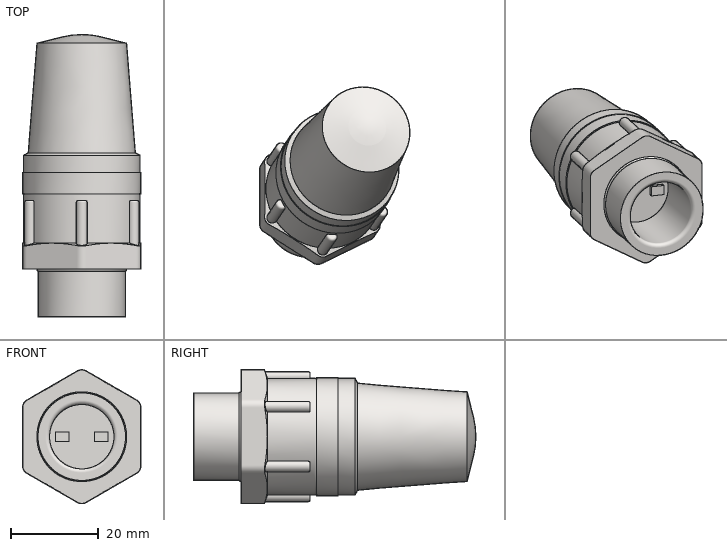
import cadquery as cq
import math

LENGTH = 64.5
SPIGOT_LENGTH = 10.9
COLLAR_LENGTH = 0.5
HEX_THICKNESS = 6.0
BAND_START = 28.1
BAND_END = 32.95
SHOULDER_START = 36.9
SHOULDER_END = 37.5
NOSE_HEIGHT = 2.0
NOSE_START = LENGTH - NOSE_HEIGHT
HEX_END = SPIGOT_LENGTH + HEX_THICKNESS

SPIGOT_RADIUS = 10.0
COLLAR_RADIUS = 10.25
BODY_RADIUS = 13.35
BODY_END_ROUND = 0.4
CAP_BASE_RADIUS = 12.25
CAP_TOP_RADIUS = 10.25
NOSE_SLOPE = math.radians(14)

HEX_SIDES = 6
HALF_SIDE_ANGLE = 180 / HEX_SIDES
ACROSS_FLATS = 27.0
HEX_CORNER_RADIUS = 2.0
HEX_CHAMFER_DROP = 0.7
BAND_RADIUS = ACROSS_FLATS / 2
CORNER_STRETCH = 1 / math.cos(math.radians(HALF_SIDE_ANGLE))
FULL_CORNER_REACH = BAND_RADIUS * CORNER_STRETCH
ROUNDED_CORNER_REACH = FULL_CORNER_REACH - HEX_CORNER_RADIUS * (CORNER_STRETCH - 1)

RIB_DIAMETER = 2.5
RIB_CENTRE_RADIUS = 13.6
RIB_END = 26.65
RIB_TIP_FILLET = 0.5

BORE_RADIUS = 7.35
BORE_DEPTH = HEX_END
BORE_LIP_FILLET = 0.9
CONTACT_WIDTH = 3.0
CONTACT_THICKNESS = 2.2
CONTACT_HEIGHT = 0.95
CONTACT_SPACING = 8.95


def y_plane(y):
    """Sketch plane at station y: local x is +X, local y is +Z, negative extrusion runs toward +Y."""
    return cq.Workplane(cq.Plane(origin=(0, y, 0), xDir=(1, 0, 0), normal=(0, -1, 0)))


def revolve_about_y(profile):
    return profile.close().revolve(360, (0, 0, 0), (0, 1, 0))


def turned_body():
    collar_rise = COLLAR_RADIUS - SPIGOT_RADIUS
    collar_round = (COLLAR_LENGTH**2 + collar_rise**2) / (2 * collar_rise)

    tip_radius = (CAP_TOP_RADIUS * math.tan(NOSE_SLOPE) - NOSE_HEIGHT) / (1 / math.cos(NOSE_SLOPE) - 1)

    def tip_point(angle):
        return tip_radius * math.sin(angle), LENGTH - tip_radius * (1 - math.cos(angle))

    profile = (
        cq.Workplane("XY")
        .moveTo(0, 0)
        .lineTo(SPIGOT_RADIUS, 0)
        .lineTo(SPIGOT_RADIUS, SPIGOT_LENGTH - COLLAR_LENGTH)
        .radiusArc((COLLAR_RADIUS, SPIGOT_LENGTH), -collar_round)
        .lineTo(BODY_RADIUS, SPIGOT_LENGTH)
        .lineTo(BODY_RADIUS, BAND_START - BODY_END_ROUND)
        .radiusArc((BODY_RADIUS - BODY_END_ROUND, BAND_START), -BODY_END_ROUND)
        .lineTo(BAND_RADIUS, BAND_START)
        .lineTo(BAND_RADIUS, BAND_END)
        .lineTo(BODY_RADIUS, BAND_END)
        .lineTo(BODY_RADIUS, SHOULDER_START)
        .lineTo(CAP_BASE_RADIUS, SHOULDER_END)
        .lineTo(CAP_TOP_RADIUS, NOSE_START)
        .lineTo(*tip_point(NOSE_SLOPE))
        .threePointArc(tip_point(NOSE_SLOPE / 2), (0, LENGTH))
    )
    return revolve_about_y(profile)


def hex_nut():
    prism = (
        y_plane(SPIGOT_LENGTH)
        .transformed(rotate=(0, 0, HALF_SIDE_ANGLE))
        .polygon(HEX_SIDES, 2 * FULL_CORNER_REACH)
        .extrude(-HEX_THICKNESS)
        .edges("|Y")
        .fillet(HEX_CORNER_RADIUS)
    )
    chamfer_envelope = revolve_about_y(
        cq.Workplane("XY")
        .moveTo(0, SPIGOT_LENGTH)
        .lineTo(ROUNDED_CORNER_REACH, SPIGOT_LENGTH)
        .lineTo(ROUNDED_CORNER_REACH, HEX_END - HEX_CHAMFER_DROP)
        .lineTo(BODY_RADIUS, HEX_END)
        .lineTo(0, HEX_END)
    )
    return prism.intersect(chamfer_envelope)


def grip_rib(angle):
    rib_start = SPIGOT_LENGTH + HEX_THICKNESS / 2
    return (
        y_plane(rib_start)
        .center(RIB_CENTRE_RADIUS * math.cos(angle), RIB_CENTRE_RADIUS * math.sin(angle))
        .circle(RIB_DIAMETER / 2)
        .extrude(rib_start - RIB_END)
        .faces(">Y")
        .edges()
        .fillet(RIB_TIP_FILLET)
    )


def cut_bore(part):
    bored = part.cut(y_plane(0).circle(BORE_RADIUS).extrude(-BORE_DEPTH))
    mouth_edge = cq.selectors.RadiusNthSelector(0)
    return bored.faces("<Y").edges(mouth_edge).fillet(BORE_LIP_FILLET)


def contact_pads():
    return (
        y_plane(BORE_DEPTH - CONTACT_HEIGHT)
        .rarray(CONTACT_SPACING, 0.65, 2, 1)
        .rect(CONTACT_WIDTH, CONTACT_THICKNESS)
        .extrude(-CONTACT_HEIGHT)
    )


result = turned_body().union(hex_nut())
for index in range(HEX_SIDES):
    corner_angle = (2 * index + 1) * HALF_SIDE_ANGLE
    result = result.union(grip_rib(math.radians(corner_angle)))
result = cut_bore(result).union(contact_pads())